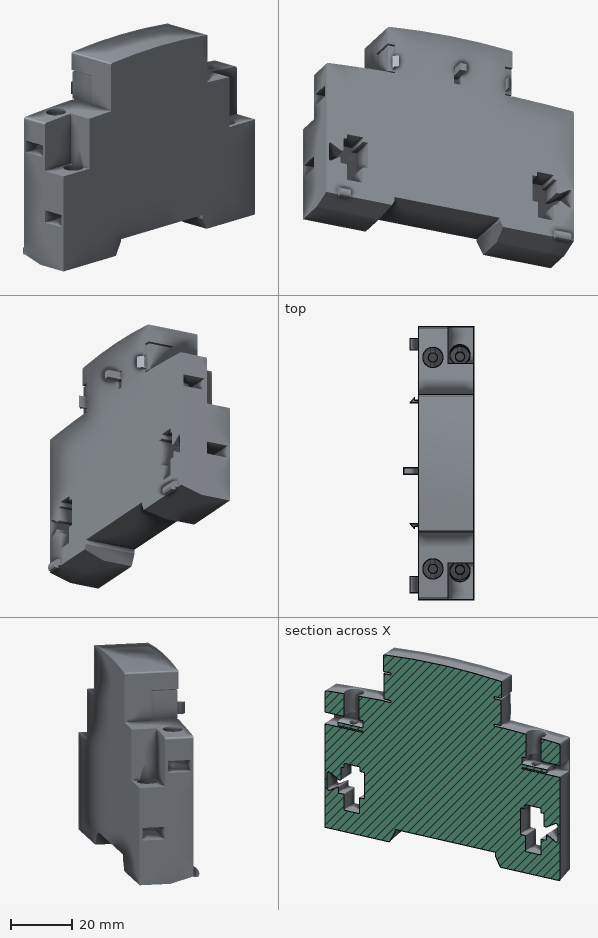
import cadquery as cq
import math

width = 18.15
half_length = 44.7
shoulder_crown = 50.4
shoulder_end = 48.9
shoulder_fillet = 0.7

tower_half_length = 22.5
tower_crown = 67.4
tower_end = 66.3
tower_fillet = 0.5

rail_top = 5.2
rail_back, rail_back_foot, rail_back_knee = 20.1, 22.1, 3.75
rail_front, rail_front_foot, rail_front_knee = -18.0, -20.3, 4.3
bevel_width = 7.7
bevel_height = 2.15

step_x = 9.65
step_y = 32.6
step_z = 32.5

slot_depth = 14.3
upper_slot_x, upper_slot_z = (0.8, 8.7), (37.1, 41.1)
lower_slot_x, lower_slot_z = (step_x, 17.25), (14.9, 19.1)
shaft_radius = 3.3
shaft_y = 34.6
lower_shaft_x = 13.6
lower_shaft_y = 35.5
lower_shaft_depth = 5.8
lower_shaft_tilt = 5.5
screw_hole_radius = 1.5

clamp_crest = 39.1
clamp_thickness = 1.3
clamp_setback = 4.9
clamp_slope = math.radians(13)
ridge_half_width = 0.7

key_depth = 8.9
key_fillet = 0.3
flare_y = 43.8
flare_fillet = 0.6

pocket_width = 9.1
pocket_inner_y = 19.8
pocket_z = (50.0, 60.3)
block_end_gap = 0.3
block_side_gap = 0.5
block_setback = 0.3
barb_z = (51.4, 55.3)
barb_reach = 2.8
barb_neck = 1.25
barb_stem = 0.9
barb_height = 1.7

window_y, window_z = (-3.9, -1.4), (50.5, 56.4)
window_depth = 2.7
pin_y, pin_z = (-3.7, -1.4), (53.5, 55.9)
pin_reach = 4.8

foot_spans = ((37.0, 40.9), (-42.5, -37.0))
foot_reach = 2.8
foot_top = 4.1
foot_bottom = 1.0
foot_radius = 2.0
foot_neck = 1.0
foot_underside = 2.1

ends = (1, -1)


def block(x_range, y_range, z_range):
    """Box between two limits on each axis; the limits may come in either order."""
    sizes = [abs(b - a) for a, b in (x_range, y_range, z_range)]
    corner = [min(limits) for limits in (x_range, y_range, z_range)]
    return cq.Workplane("XY").box(*sizes, centered=False).translate(tuple(corner))


def at_end(shape, end):
    """Copy of a shape made for the +Y end, placed at either end."""
    return shape if end > 0 else shape.mirror("XZ")


def crowned_slab(half_span, bottom, end_height, crown, fillet):
    """Full-width slab with an arched top and rounded top ends."""
    slab = (
        cq.Workplane("YZ")
        .moveTo(-half_span, bottom)
        .lineTo(half_span, bottom)
        .lineTo(half_span, end_height)
        .threePointArc((0, crown), (-half_span, end_height))
        .close()
        .extrude(width)
    )
    top_ends = cq.selectors.BoxSelector(
        (-0.9, -half_span - 0.9, end_height - 0.1), (width + 0.9, half_span + 0.9, end_height + 0.1)
    )
    return slab.edges("|X").edges(top_ends).fillet(fillet)


def make_body():
    lower = crowned_slab(half_length, 0, shoulder_end, shoulder_crown, shoulder_fillet)
    tower = crowned_slab(tower_half_length, step_z, tower_end, tower_crown, tower_fillet)
    rail = (
        cq.Workplane("YZ")
        .polyline([
            (rail_back_foot, 0),
            (rail_back, rail_back_knee),
            (rail_back, rail_top),
            (rail_front, rail_top),
            (rail_front, rail_front_knee),
            (rail_front_foot, 0),
        ])
        .close()
        .extrude(width)
    )
    bevel = (
        cq.Workplane("XZ")
        .polyline([(0, 0), (bevel_width, 0), (0, bevel_height)])
        .close()
        .extrude(half_length, both=True)
    )
    body = lower.union(tower).cut(rail).cut(bevel)
    step = block((step_x, width), (step_y, half_length), (step_z, shoulder_crown))
    for end in ends:
        body = body.cut(at_end(step, end))
    return body


def ridged_prism(half_width, thickness, y_start, y_end):
    """Plate with a rounded ridge along Y, its crest at x = 0, z = 0."""
    crown_drop = ridge_half_width * math.tan(clamp_slope / 2)
    edge_drop = crown_drop + (half_width - ridge_half_width) * math.tan(clamp_slope)
    return (
        cq.Workplane("XZ", origin=(0, y_start, 0))
        .moveTo(-half_width, -edge_drop)
        .lineTo(-ridge_half_width, -crown_drop)
        .threePointArc((0, 0), (ridge_half_width, -crown_drop))
        .lineTo(half_width, -edge_drop)
        .lineTo(half_width, -edge_drop - thickness)
        .lineTo(ridge_half_width, -crown_drop - thickness)
        .threePointArc((0, -thickness), (-ridge_half_width, -crown_drop - thickness))
        .lineTo(-half_width, -edge_drop - thickness)
        .close()
        .extrude(y_start - y_end)
    )


def upper_terminal():
    """Void of an upper terminal: slot and shaft, less the clamp plate across the slot."""
    x_mid = sum(upper_slot_x) / 2
    half_width = (upper_slot_x[1] - upper_slot_x[0]) / 2
    floor = upper_slot_z[0]
    inner_y = half_length - slot_depth
    shaft_axis = cq.Workplane("XY", origin=(x_mid, shaft_y, floor))
    shaft = shaft_axis.workplane(offset=upper_slot_z[1] - floor).circle(shaft_radius).extrude(
        shoulder_crown - upper_slot_z[1]
    )
    screw_hole = shaft_axis.circle(screw_hole_radius).extrude(clamp_crest - floor)
    slot = block(upper_slot_x, (inner_y, half_length), upper_slot_z)
    clamp = ridged_prism(half_width, clamp_thickness, inner_y, half_length - clamp_setback)
    clamp = clamp.translate((x_mid, 0, clamp_crest))
    return slot.cut(clamp).union(shaft).union(screw_hole)


def lower_terminal():
    """Voids of a lower terminal: wire slot, and a tilted shaft with a ridged floor."""
    slot = block(lower_slot_x, (half_length - slot_depth, half_length), lower_slot_z)
    bottom = cq.Workplane("XY", origin=(0, 0, -lower_shaft_depth - clamp_thickness))
    shaft = bottom.circle(shaft_radius).extrude(shoulder_crown - step_z + lower_shaft_depth)
    floor = ridged_prism(2 * shaft_radius, 2 * clamp_thickness, -2 * shaft_radius, 2 * shaft_radius)
    shaft = shaft.cut(floor.translate((0, 0, -lower_shaft_depth)))
    shaft = shaft.union(bottom.circle(screw_hole_radius).extrude(clamp_thickness))
    shaft = shaft.rotate((0, 0, 0), (1, 0, 0), -lower_shaft_tilt)
    return slot, shaft.translate((lower_shaft_x, lower_shaft_y, step_z))


def key_recess():
    """Stepped upright recess with a flared side opening toward the end of the body."""
    recess = (
        cq.Workplane("YZ")
        .polyline([
            (31.4, 24.5),
            (37.3, 24.5),
            (37.3, 22.9),
            (38.4, 22.9),
            (38.4, 18.2),
            (39.5, 18.2),
            (flare_y, 20.7),
            (flare_y, 13.4),
            (39.5, 15.9),
            (39.5, 13.7),
            (37.3, 13.7),
            (37.3, 8.05),
            (31.65, 8.05),
            (31.65, 13.7),
            (29.7, 13.7),
            (29.7, 22.9),
            (31.4, 22.9),
        ])
        .close()
        .extrude(key_depth)
    )
    recess = recess.faces(">Y").edges("|X").fillet(flare_fillet)
    inner_corners = cq.selectors.BoxSelector((0, 0, 0), (key_depth, flare_y - 2 * flare_fillet, step_z))
    return recess.edges("|X").edges(inner_corners).fillet(key_fillet)


def latch():
    """Latch block with its barb, filling most of the latch pocket."""
    filler = block(
        (block_setback, pocket_width),
        (pocket_inner_y, tower_half_length - block_end_gap),
        (pocket_z[0] + block_side_gap, pocket_z[1] - block_side_gap),
    )
    barb = (
        cq.Workplane("XY", origin=(0, pocket_inner_y, barb_z[0]))
        .polyline([
            (block_setback, 0),
            (-barb_reach, 0),
            (-barb_neck, barb_height),
            (-barb_neck, barb_stem),
            (block_setback, barb_stem),
        ])
        .close()
        .extrude(barb_z[1] - barb_z[0])
    )
    return filler.union(barb)


def foot(y_range):
    """Foot that reaches out from the mating face and curls down."""
    arc_x = foot_radius - foot_reach
    arc_z = foot_top - foot_radius
    tip_x = arc_x - math.sqrt(foot_radius**2 - (arc_z - foot_bottom) ** 2)
    return (
        cq.Workplane("XZ", origin=(0, y_range[0], 0))
        .moveTo(0, foot_underside)
        .lineTo(0, foot_top)
        .lineTo(arc_x, foot_top)
        .threePointArc((-foot_reach, arc_z), (tip_x, foot_bottom))
        .lineTo(-foot_neck, foot_bottom)
        .lineTo(-foot_neck, foot_underside)
        .close()
        .extrude(y_range[0] - y_range[1])
    )


result = make_body()

latch_pocket = block((0, pocket_width), (pocket_inner_y, tower_half_length), pocket_z)
voids = [upper_terminal(), *lower_terminal(), key_recess(), latch_pocket]
for end in ends:
    for void in voids:
        result = result.cut(at_end(void, end))
    result = result.union(at_end(latch(), end))

result = result.cut(block((0, window_depth), window_y, window_z))
result = result.union(block((-pin_reach, window_depth), pin_y, pin_z))

for span in foot_spans:
    result = result.union(foot(span))